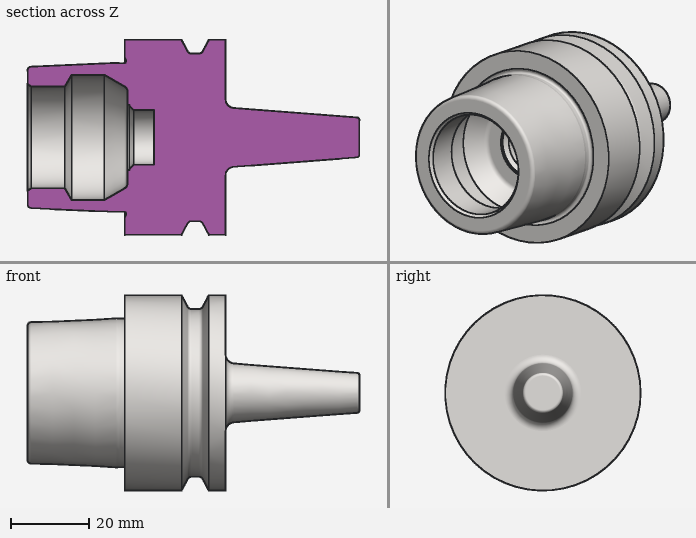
import cadquery as cq
import math

total_length = 84.9

shank_end_x = 22.8
shank_end_radius = 19.1
shank_mouth_radius = 18.1
shank_mouth_round = 1.0
neck_start_x = 23.6
neck_radius = 19.0

flange_face_x = 24.9
flange_back_x = 50.7
flange_diameter = 50.0
flange_radius = flange_diameter / 2
relief_outer_radius = 20.4
relief_depth = 0.7
relief_round = 0.6

groove_start_x = 39.4
groove_end_x = 46.35
groove_floor_radius = 21.5
groove_wall_angle = 28.0
groove_round = 1.0

nose_base_radius = 7.7
nose_tip_radius = 5.1
nose_base_round = 2.2
nose_tip_round = 0.8

bore_radius = 13.0
bore_mouth_radius = 13.7
bore_mouth_depth = 0.9
clamp_shoulder_x = 9.6
clamp_shoulder_angle = 60.0
chamber_radius = 16.0
chamber_cone_x = 19.7
chamber_cone_angle = 30.0
chamber_floor_x = 25.55
chamber_floor_round = 1.4

recess_radius = 8.3
recess_depth = 0.5
hole_mouth_radius = 8.1
hole_radius = 7.0
hole_chamfer_depth = 1.1
hole_depth = 6.8


def corner_arc(before, corner, after, radius):
    """Start, middle and end of the arc that rounds a corner between two straight lines."""
    to_before = (cq.Vector(*before) - cq.Vector(*corner)).normalized()
    to_after = (cq.Vector(*after) - cq.Vector(*corner)).normalized()
    half_angle = to_before.getAngle(to_after) / 2
    setback = radius / math.tan(half_angle)
    middle_distance = radius / math.sin(half_angle) - radius
    bisector = (to_before + to_after).normalized()
    point = cq.Vector(*corner)
    return point + to_before * setback, point + bisector * middle_distance, point + to_after * setback


def turned(corners):
    """Revolve a closed outline about X. Each corner is (x, radius, rounding); 0 stays sharp."""
    points = [(x, radius) for x, radius, _ in corners]
    outline = cq.Workplane("XY").moveTo(*points[0])
    for i in range(1, len(corners)):
        rounding = corners[i][2]
        if rounding:
            start, middle, end = corner_arc(points[i - 1], points[i], points[i + 1], rounding)
            outline = outline.lineTo(start.x, start.y)
            outline = outline.threePointArc((middle.x, middle.y), (end.x, end.y))
        else:
            outline = outline.lineTo(*points[i])
    return outline.close().revolve(360, (0, 0, 0), (1, 0, 0))


def make_body():
    relief_bottom_x = flange_face_x + relief_depth
    groove_wall_run = (flange_radius - groove_floor_radius) * math.tan(math.radians(groove_wall_angle))
    return turned([
        (0, 0, 0),
        (0, shank_mouth_radius, shank_mouth_round),
        (shank_end_x, shank_end_radius, 0),
        (neck_start_x, neck_radius, 0),
        (relief_bottom_x, neck_radius, relief_round),
        (flange_face_x, relief_outer_radius, 0),
        (flange_face_x, flange_radius, 0),
        (groove_start_x, flange_radius, 0),
        (groove_start_x + groove_wall_run, groove_floor_radius, groove_round),
        (groove_end_x - groove_wall_run, groove_floor_radius, groove_round),
        (groove_end_x, flange_radius, 0),
        (flange_back_x, flange_radius, 0),
        (flange_back_x, nose_base_radius, nose_base_round),
        (total_length, nose_tip_radius, nose_tip_round),
        (total_length, 0, 0),
    ])


def make_cavity():
    shoulder_run = (chamber_radius - bore_radius) / math.tan(math.radians(clamp_shoulder_angle))
    cone_length = chamber_floor_x - chamber_cone_x
    chamber_floor_radius = chamber_radius - cone_length * math.tan(math.radians(chamber_cone_angle))
    recess_floor_x = chamber_floor_x + recess_depth
    hole_floor_x = chamber_floor_x + hole_depth
    return turned([
        (0, 0, 0),
        (0, bore_mouth_radius, 0),
        (bore_mouth_depth, bore_radius, 0),
        (clamp_shoulder_x, bore_radius, 0),
        (clamp_shoulder_x + shoulder_run, chamber_radius, 0),
        (chamber_cone_x, chamber_radius, 0),
        (chamber_floor_x, chamber_floor_radius, chamber_floor_round),
        (chamber_floor_x, recess_radius, 0),
        (recess_floor_x, recess_radius, 0),
        (recess_floor_x, hole_mouth_radius, 0),
        (recess_floor_x + hole_chamfer_depth, hole_radius, 0),
        (hole_floor_x, hole_radius, 0),
        (hole_floor_x, 0, 0),
    ])


result = make_body().cut(make_cavity())